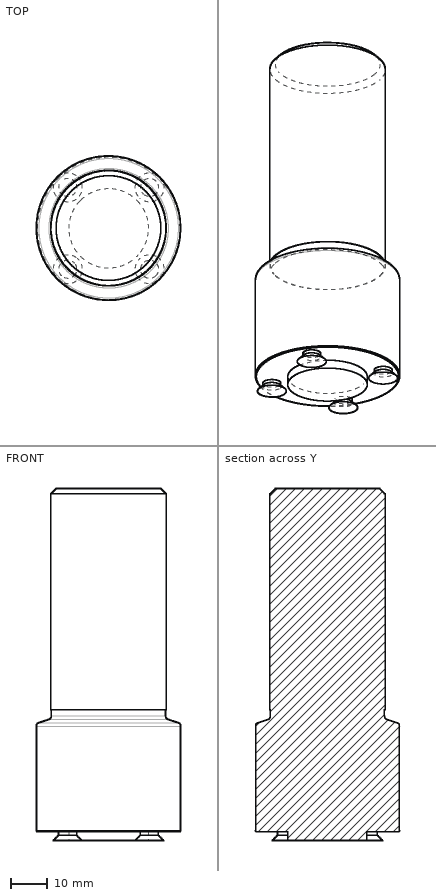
import cadquery as cq
import math

total_height = 97.4

head_radius = 20.0
head_bottom = 2.4
head_bottom_chamfer = 0.3
head_cylinder_top = 31.7
shoulder_slope = math.radians(18)
shoulder_round = 1.0

neck_radius = 15.85
neck_top = 36.2
shank_radius = 16.0
shank_chamfer = 1.5

boss_radius = 11.0
foot_count = 4
foot_pitch_radius = 16.0
foot_stem_radius = 2.5
foot_base_radius = 4.0
foot_flare_height = foot_base_radius - foot_stem_radius


def make_body():
    """Revolve the head, sloped shoulder, relieved neck and shank about Z."""

    def arc_offset(angle):
        """Radial inset and rise from the start of a shoulder round."""
        return shoulder_round * (1 - math.cos(angle)), shoulder_round * math.sin(angle)

    turn = math.pi / 2 - shoulder_slope
    mid_inset, mid_rise = arc_offset(turn / 2)
    end_inset, end_rise = arc_offset(turn)

    slope_outer_radius = head_radius - end_inset
    slope_inner_radius = neck_radius + end_inset
    slope_bottom = head_cylinder_top + end_rise
    slope_top = slope_bottom + (slope_outer_radius - slope_inner_radius) * math.tan(shoulder_slope)
    neck_bottom = slope_top + end_rise

    profile = (
        cq.Workplane("XZ")
        .moveTo(0, head_bottom)
        .lineTo(head_radius - head_bottom_chamfer, head_bottom)
        .lineTo(head_radius, head_bottom + head_bottom_chamfer)
        .lineTo(head_radius, head_cylinder_top)
        .threePointArc(
            (head_radius - mid_inset, head_cylinder_top + mid_rise),
            (slope_outer_radius, slope_bottom),
        )
        .lineTo(slope_inner_radius, slope_top)
        .threePointArc(
            (neck_radius + mid_inset, neck_bottom - mid_rise),
            (neck_radius, neck_bottom),
        )
        .lineTo(neck_radius, neck_top)
        .lineTo(shank_radius, neck_top)
        .lineTo(shank_radius, total_height - shank_chamfer)
        .lineTo(shank_radius - shank_chamfer, total_height)
        .lineTo(0, total_height)
        .close()
    )
    return profile.revolve(360, (0, 0, 0), (0, 1, 0))


def make_boss():
    """Central round boss, flush with the underside of the feet."""
    return cq.Workplane("XY").circle(boss_radius).extrude(head_bottom)


def make_foot(angle):
    """One foot: a round stem flaring at 45 degrees to a wider base."""
    foot = (
        cq.Workplane("XZ")
        .lineTo(foot_base_radius, 0)
        .lineTo(foot_stem_radius, foot_flare_height)
        .lineTo(foot_stem_radius, head_bottom)
        .lineTo(0, head_bottom)
        .close()
        .revolve(360, (0, 0, 0), (0, 1, 0))
    )
    return foot.translate((foot_pitch_radius, 0, 0)).rotate((0, 0, 0), (0, 0, 1), angle)


result = make_body().union(make_boss())
foot_spacing = 360 / foot_count
for index in range(foot_count):
    result = result.union(make_foot((index + 0.5) * foot_spacing))